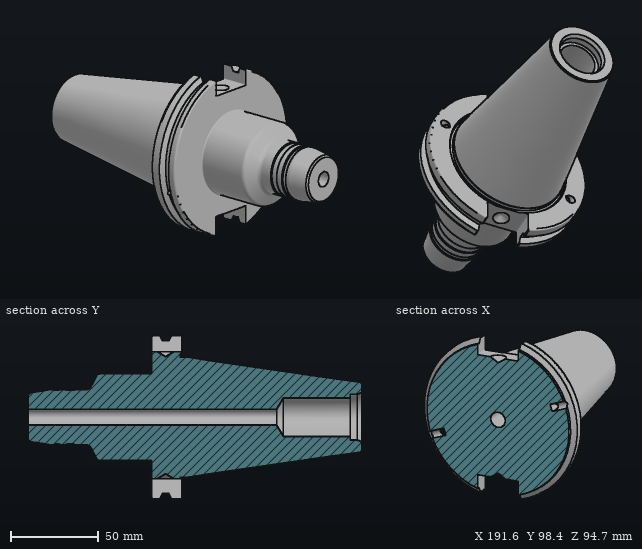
import cadquery as cq
import math

TAPER_END_X = -101.6
FLANGE_FACE_X = 1.59
FLANGE_BACK_X = 19.05
NOSE_TIP_X = 90.0

GAUGE_DIAMETER = 69.85
TAPER_RATE = 7 / 24
TAPER_END_CHAMFER = 0.6
NECK_DIAMETER = 69.25
RELIEF_OUTER_DIAMETER = 73.6
RELIEF_FLOOR_DIAMETER = 72.4
RELIEF_DEPTH = 1.0

FLANGE_DIAMETER = 98.425
FLANGE_FILLET = 1.1
GROOVE_CENTER_X = 11.1
GROOVE_TOP_WIDTH = 7.0
GROOVE_FLOOR_WIDTH = 3.5
GROOVE_FLOOR_DIAMETER = 91.6

SLOT_WIDTH = 25.8
SLOT_TOP_FLOOR_Z = 37.7
SLOT_BOTTOM_FLOOR_Z = -35.5
SLOT_FLOOR_FILLET = 0.5
SLOT_EDGE_CHAMFER = 0.5
DIMPLE_DIAMETER = 9.53
DRILL_POINT_ANGLE = 118

BODY_DIAMETER = 50.0
BODY_ROOT_FILLET = 0.6
BODY_END_X = 50.3
BODY_EDGE_FILLET = 2.3
SHOULDER_END_X = 54.9
SHOULDER_FILLET = 2.8

NOSE_DIAMETER = 32.0
NOSE_GROOVE_DIAMETER = 31.0
NOSE_GROOVES = [(63.6, 68.2), (72.0, 75.1)]
NOSE_TAPER_START_X = 77.6
NOSE_TAPER_END_DIAMETER = 28.4
NOSE_TIP_DIAMETER = 26.2
NOSE_TIP_CHAMFER = 1.0

MOUTH_DIAMETER = 28.3
MOUTH_DEPTH = 2.5
COUNTERBORE_DIAMETER = 26.2
COUNTERBORE_DEPTH = 6.6
THREAD_BORE_DIAMETER = 21.97
THREAD_BORE_DEPTH = 45.0
THROUGH_DIAMETER = 8.92

PORT_ANGLES = [20, 200]
PORT_RADIUS = 42.0
PORT_TILT = 30
PORT_MOUTH_DIAMETER = 5.0
PORT_MOUTH_DEPTH = 2.6
PORT_DIAMETER = 4.2
RADIAL_PORT_DIAMETER = 4.13


def drill_point_length(diameter):
    return diameter / 2 / math.tan(math.radians(DRILL_POINT_ANGLE / 2))


def revolve_about_x(points):
    """Solid of revolution about X from (x, radius) points."""
    return cq.Workplane("XY").polyline(points).close().revolve(360, (0, 0, 0), (1, 0, 0))


def round_edge(solid, x, diameter, radius):
    """Fillet the circular edge of the given diameter around the X axis at station x."""
    slack = 0.05
    reach = diameter / 2 + slack
    around_edge = cq.selectors.BoxSelector(
        (x - slack, -reach, -reach), (x + slack, reach, reach), boundingbox=True
    )
    return solid.edges(around_edge).fillet(radius)


def make_taper():
    end_radius = (GAUGE_DIAMETER + TAPER_RATE * TAPER_END_X) / 2
    chamfer_x = TAPER_END_X + TAPER_END_CHAMFER
    chamfer_radius = end_radius + TAPER_RATE / 2 * TAPER_END_CHAMFER
    return revolve_about_x([
        (TAPER_END_X, 0),
        (TAPER_END_X, end_radius - TAPER_END_CHAMFER),
        (chamfer_x, chamfer_radius),
        (0, GAUGE_DIAMETER / 2),
        (0, NECK_DIAMETER / 2),
        (FLANGE_BACK_X, NECK_DIAMETER / 2),
        (FLANGE_BACK_X, 0),
    ])


def make_flange():
    flange = revolve_about_x([
        (FLANGE_FACE_X, 0),
        (FLANGE_FACE_X, FLANGE_DIAMETER / 2),
        (FLANGE_BACK_X, FLANGE_DIAMETER / 2),
        (FLANGE_BACK_X, 0),
    ])
    for face_x in (FLANGE_FACE_X, FLANGE_BACK_X):
        flange = round_edge(flange, face_x, FLANGE_DIAMETER, FLANGE_FILLET)
    return flange.cut(make_v_groove()).cut(make_face_relief())


def make_v_groove():
    rim_radius = FLANGE_DIAMETER / 2
    floor_radius = GROOVE_FLOOR_DIAMETER / 2
    return revolve_about_x([
        (GROOVE_CENTER_X - GROOVE_TOP_WIDTH / 2, rim_radius),
        (GROOVE_CENTER_X - GROOVE_FLOOR_WIDTH / 2, floor_radius),
        (GROOVE_CENTER_X + GROOVE_FLOOR_WIDTH / 2, floor_radius),
        (GROOVE_CENTER_X + GROOVE_TOP_WIDTH / 2, rim_radius),
    ])


def make_face_relief():
    """Ring recess in the flange face, around the neck behind the taper."""
    floor_x = FLANGE_FACE_X + RELIEF_DEPTH
    return revolve_about_x([
        (FLANGE_FACE_X, NECK_DIAMETER / 2),
        (FLANGE_FACE_X, RELIEF_OUTER_DIAMETER / 2),
        (floor_x, RELIEF_FLOOR_DIAMETER / 2),
        (floor_x, NECK_DIAMETER / 2),
    ])


def make_body_and_nose():
    nose_radius = NOSE_DIAMETER / 2
    groove_radius = NOSE_GROOVE_DIAMETER / 2
    profile = [
        (FLANGE_BACK_X, 0),
        (FLANGE_BACK_X, BODY_DIAMETER / 2),
        (BODY_END_X, BODY_DIAMETER / 2),
        (SHOULDER_END_X, nose_radius),
    ]
    wall_run = nose_radius - groove_radius
    for start_x, end_x in NOSE_GROOVES:
        profile += [
            (start_x, nose_radius),
            (start_x + wall_run, groove_radius),
            (end_x - wall_run, groove_radius),
            (end_x, nose_radius),
        ]
    profile += [
        (NOSE_TAPER_START_X, nose_radius),
        (NOSE_TIP_X - NOSE_TIP_CHAMFER, NOSE_TAPER_END_DIAMETER / 2),
        (NOSE_TIP_X, NOSE_TIP_DIAMETER / 2),
        (NOSE_TIP_X, 0),
    ]
    body = revolve_about_x(profile)
    body = round_edge(body, BODY_END_X, BODY_DIAMETER, BODY_EDGE_FILLET)
    return round_edge(body, SHOULDER_END_X, NOSE_DIAMETER, SHOULDER_FILLET)


def make_slot(floor_z):
    """Drive slot cutter that opens outward from floor_z, flared at the rim, with a dimple in its floor."""
    length = FLANGE_BACK_X - FLANGE_FACE_X
    depth = FLANGE_DIAMETER / 2 - abs(floor_z)
    slot = (
        cq.Workplane("XY")
        .box(length, SLOT_WIDTH, depth, centered=(False, True, False))
        .edges("|X and <Z")
        .fillet(SLOT_FLOOR_FILLET)
    )
    rim_half_width = SLOT_WIDTH / 2 + SLOT_EDGE_CHAMFER
    rim_height = math.sqrt((FLANGE_DIAMETER / 2) ** 2 - rim_half_width ** 2) - abs(floor_z)
    above_rim = depth - rim_height
    flare = (
        cq.Workplane("YZ")
        .polyline([
            (-SLOT_WIDTH / 2, rim_height - SLOT_EDGE_CHAMFER),
            (SLOT_WIDTH / 2, rim_height - SLOT_EDGE_CHAMFER),
            (rim_half_width + above_rim, depth),
            (-rim_half_width - above_rim, depth),
        ])
        .close()
        .extrude(length)
    )
    point_length = drill_point_length(DIMPLE_DIAMETER)
    dimple = cq.Workplane(cq.Solid.makeCone(
        DIMPLE_DIAMETER / 2, 0, point_length,
        pnt=(GROOVE_CENTER_X - FLANGE_FACE_X, 0, 0), dir=(0, 0, -1),
    ))
    cutter = slot.union(flare).union(dimple)
    if floor_z < 0:
        cutter = cutter.mirror("XY")
    return cutter.translate((FLANGE_FACE_X, 0, floor_z))


def make_axial_bore():
    """Stepped bore from the taper end, closed by a drill point and a through hole."""
    thread_end_x = TAPER_END_X + THREAD_BORE_DEPTH
    cone_length = drill_point_length(THREAD_BORE_DIAMETER) - drill_point_length(THROUGH_DIAMETER)
    return revolve_about_x([
        (TAPER_END_X, 0),
        (TAPER_END_X, MOUTH_DIAMETER / 2),
        (TAPER_END_X + MOUTH_DEPTH, COUNTERBORE_DIAMETER / 2),
        (TAPER_END_X + COUNTERBORE_DEPTH, COUNTERBORE_DIAMETER / 2),
        (TAPER_END_X + COUNTERBORE_DEPTH, THREAD_BORE_DIAMETER / 2),
        (thread_end_x, THREAD_BORE_DIAMETER / 2),
        (thread_end_x + cone_length, THROUGH_DIAMETER / 2),
        (NOSE_TIP_X, THROUGH_DIAMETER / 2),
        (NOSE_TIP_X, 0),
    ])


def make_port(angle):
    """Inclined stepped hole from the flange face joined to a radial hole from the groove floor."""
    tilt = math.radians(PORT_TILT)
    axial_reach = GROOVE_CENTER_X - FLANGE_FACE_X
    inner_radius = PORT_RADIUS - axial_reach * math.tan(tilt)
    lead_in = PORT_MOUTH_DIAMETER
    direction = cq.Vector(math.cos(tilt), -math.sin(tilt), 0)
    mouth_center = cq.Vector(FLANGE_FACE_X, PORT_RADIUS, 0)
    start = mouth_center - direction * lead_in
    mouth = cq.Solid.makeCylinder(
        PORT_MOUTH_DIAMETER / 2, lead_in + PORT_MOUTH_DEPTH, start, direction
    )
    inclined = cq.Solid.makeCylinder(
        PORT_DIAMETER / 2, axial_reach / math.cos(tilt), mouth_center, direction
    )
    radial = cq.Solid.makeCylinder(
        RADIAL_PORT_DIAMETER / 2,
        FLANGE_DIAMETER / 2 - inner_radius,
        cq.Vector(GROOVE_CENTER_X, inner_radius, 0),
        cq.Vector(0, 1, 0),
    )
    port = cq.Workplane(mouth).union(cq.Workplane(inclined)).union(cq.Workplane(radial))
    return port.rotate((0, 0, 0), (1, 0, 0), angle)


result = make_taper().union(make_flange()).union(make_body_and_nose())
result = round_edge(result, FLANGE_BACK_X, BODY_DIAMETER, BODY_ROOT_FILLET)
for slot_floor_z in (SLOT_TOP_FLOOR_Z, SLOT_BOTTOM_FLOOR_Z):
    result = result.cut(make_slot(slot_floor_z))
for port_angle in PORT_ANGLES:
    result = result.cut(make_port(port_angle))
result = result.cut(make_axial_bore())